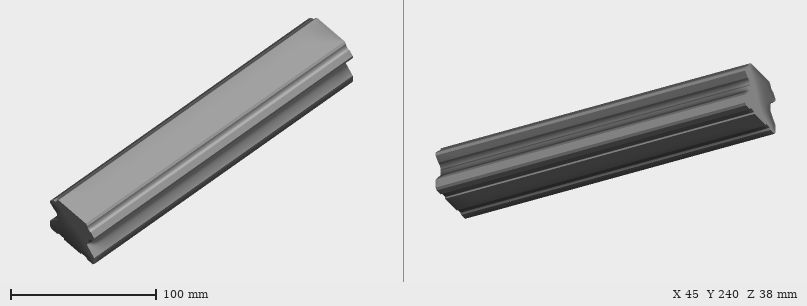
import cadquery as cq
import math

width = 45.0
length = 240.0
height = 38.0
half_width = width / 2

top_chamfer = 1.5
neck_half_width = 15.5
shoulder_half_width = 19.1
shoulder_z = 33.0
flank_top_z = 29.6
flank_bottom_z = 27.3

groove_sagitta = 1.0
lower_groove_half_width = 18.5
lower_groove_top_z = 23.7
lower_groove_bottom_z = 20.0

waist_half_width = 15.0
waist_top_z = 19.4
waist_bottom_z = 15.7
foot_top_z = 8.0
foot_chamfer = 1.5

relief_inner = 8.6
relief_outer = 15.2
relief_depth = 1.5
relief_slope = 0.8

cap_diameter = 20.0
cap_thickness = 3.0
cap_pitch = 105.0
cap_count = 3


def groove_middle(start, end):
    """Middle point of a groove arc, bulging towards the core of the rail."""
    dx = end[0] - start[0]
    dz = end[1] - start[1]
    chord = math.hypot(dx, dz)
    mid_x = (start[0] + end[0]) / 2 + groove_sagitta * dz / chord
    mid_z = (start[1] + end[1]) / 2 - groove_sagitta * dx / chord
    return mid_x, mid_z


def make_half_rail():
    """Half of the rail on the +X side, extruded along Y."""
    upper_start = (neck_half_width, height - top_chamfer)
    upper_end = (shoulder_half_width, shoulder_z)
    lower_start = (lower_groove_half_width, lower_groove_top_z)
    lower_end = (neck_half_width, lower_groove_bottom_z)
    return (
        cq.Workplane("XZ")
        .moveTo(0, height)
        .lineTo(neck_half_width - top_chamfer, height)
        .lineTo(*upper_start)
        .threePointArc(groove_middle(upper_start, upper_end), upper_end)
        .lineTo(half_width, flank_top_z)
        .lineTo(half_width, flank_bottom_z)
        .lineTo(*lower_start)
        .threePointArc(groove_middle(lower_start, lower_end), lower_end)
        .lineTo(waist_half_width, waist_top_z)
        .lineTo(waist_half_width, waist_bottom_z)
        .lineTo(half_width, foot_top_z)
        .lineTo(half_width, foot_chamfer)
        .lineTo(half_width - foot_chamfer, 0)
        .lineTo(relief_outer, 0)
        .lineTo(relief_outer - relief_slope, relief_depth)
        .lineTo(relief_inner, relief_depth)
        .lineTo(relief_inner, 0)
        .lineTo(0, 0)
        .close()
        .extrude(length / 2, both=True)
    )


def make_caps():
    """Row of round caps whose upper faces lie in the top face of the rail."""
    first_y = -cap_pitch * (cap_count - 1) / 2
    centres = [(0, first_y + i * cap_pitch) for i in range(cap_count)]
    return (
        cq.Workplane("XY", origin=(0, 0, height - cap_thickness))
        .pushPoints(centres)
        .circle(cap_diameter / 2)
        .extrude(cap_thickness)
    )


half_rail = make_half_rail()
rail = half_rail.union(half_rail.mirror("YZ")).clean()

caps = make_caps()
result = rail.cut(caps).union(caps, clean=False)